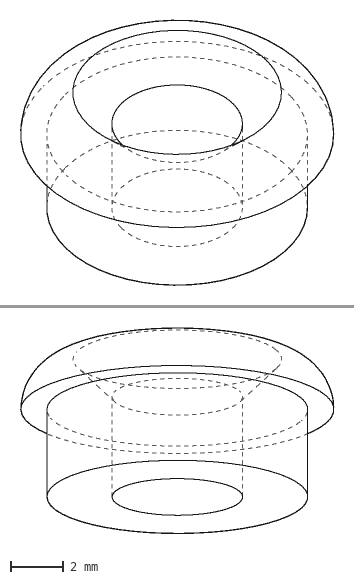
import cadquery as cq
import math

flange_diameter = 12.0
barrel_diameter = 10.0
bore_diameter = 5.0
total_height = 5.5
flange_height = 2.0

flange_radius = flange_diameter / 2
barrel_radius = barrel_diameter / 2
bore_radius = bore_diameter / 2
mouth_radius = flange_radius - flange_height
countersink_depth = mouth_radius - bore_radius
flange_base = total_height - flange_height

round_offset = flange_height * math.sqrt(0.5)
round_middle = (mouth_radius + round_offset, flange_base + round_offset)

profile = (
    cq.Workplane("XZ")
    .moveTo(bore_radius, 0)
    .lineTo(barrel_radius, 0)
    .lineTo(barrel_radius, flange_base)
    .lineTo(flange_radius, flange_base)
    .threePointArc(round_middle, (mouth_radius, total_height))
    .lineTo(bore_radius, total_height - countersink_depth)
    .close()
)

result = profile.revolve(360, (0, 0, 0), (0, 1, 0))